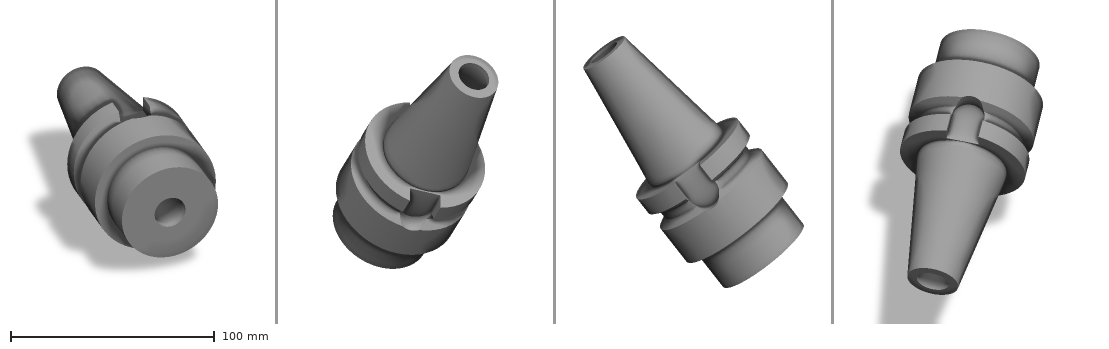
import cadquery as cq

total_length = 129.3
flange_start = 67.5
flange_length = 40.5
flange_end = flange_start + flange_length
neck_length = 1.2
taper_end = flange_start - 2 * neck_length
land_end = flange_start - neck_length

taper_small_diameter = 25.6
taper_large_diameter = 44.7
relief_diameter = 44.2
flange_diameter = 63.0
nose_diameter = 50.0
bore_diameter = 16.0

groove_diameter = 53.0
groove_start = flange_start + 9.5
groove_floor_start = flange_start + 12.2
groove_floor_end = flange_start + 16.7
groove_end = flange_start + 19.5

slot_width = 16.0
slot_length = 20.8
slot_floor_height = 22.8


def turned_body():
    """Revolve the taper, grooved flange and nose about X."""
    profile = [
        (0, 0),
        (0, taper_small_diameter / 2),
        (taper_end, taper_large_diameter / 2),
        (land_end, taper_large_diameter / 2),
        (flange_start, relief_diameter / 2),
        (flange_start, flange_diameter / 2),
        (groove_start, flange_diameter / 2),
        (groove_floor_start, groove_diameter / 2),
        (groove_floor_end, groove_diameter / 2),
        (groove_end, flange_diameter / 2),
        (flange_end, flange_diameter / 2),
        (flange_end, nose_diameter / 2),
        (total_length, nose_diameter / 2),
        (total_length, 0),
    ]
    return cq.Workplane("XY").polyline(profile).close().revolve(360, (0, 0, 0), (1, 0, 0))


def through_bore():
    return cq.Workplane("YZ").circle(bore_diameter / 2).extrude(total_length)


def drive_slot():
    """Cutter for the slot on the +Z side, open at the flange face."""
    half_width = slot_width / 2
    arc_start = flange_start + slot_length - half_width
    return (
        cq.Workplane("XY", origin=(0, 0, slot_floor_height))
        .moveTo(flange_start, -half_width)
        .lineTo(arc_start, -half_width)
        .threePointArc((flange_start + slot_length, 0), (arc_start, half_width))
        .lineTo(flange_start, half_width)
        .close()
        .extrude(flange_diameter / 2)
    )


result = turned_body().cut(through_bore())
for angle in (0, 180):
    result = result.cut(drive_slot().rotate((0, 0, 0), (1, 0, 0), angle))